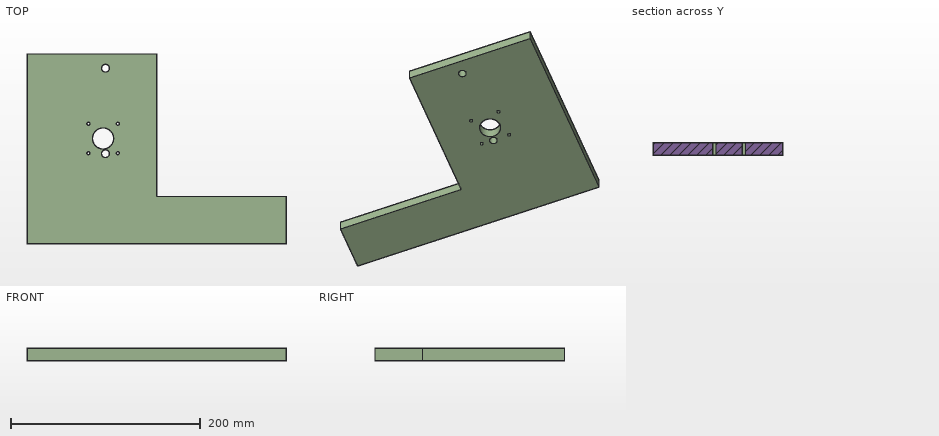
import cadquery as cq

plate_length = 273.0
plate_width = 200.0
plate_thickness = 13.5
body_length = plate_length / 2
arm_width = 50.0

motor_x = 80.0
motor_y = 111.0
motor_bore_diameter = 22.0
screw_spacing = 31.0
screw_diameter = 3.0

rod_x = 82.5
rod_upper_y = plate_width - 15.0
rod_spacing = 90.0
rod_diameter = 8.0


def make_plate():
    """L-shaped plate: a wide body with a narrow arm along the front edge."""
    outline = [
        (0, 0),
        (plate_length, 0),
        (plate_length, arm_width),
        (body_length, arm_width),
        (body_length, plate_width),
        (0, plate_width),
    ]
    return cq.Workplane("XY").polyline(outline).close().extrude(plate_thickness)


def through_holes(centers, diameter):
    """Cylinders that cut right through the plate at the given centers."""
    return cq.Workplane("XY").pushPoints(centers).circle(diameter / 2).extrude(plate_thickness)


motor_center = (motor_x, motor_y)
screw_offsets = (-screw_spacing / 2, screw_spacing / 2)
screw_centers = [(motor_x + dx, motor_y + dy) for dx in screw_offsets for dy in screw_offsets]
rod_centers = [(rod_x, rod_upper_y), (rod_x, rod_upper_y - rod_spacing)]

result = (
    make_plate()
    .cut(through_holes([motor_center], motor_bore_diameter))
    .cut(through_holes(screw_centers, screw_diameter))
    .cut(through_holes(rod_centers, rod_diameter))
)